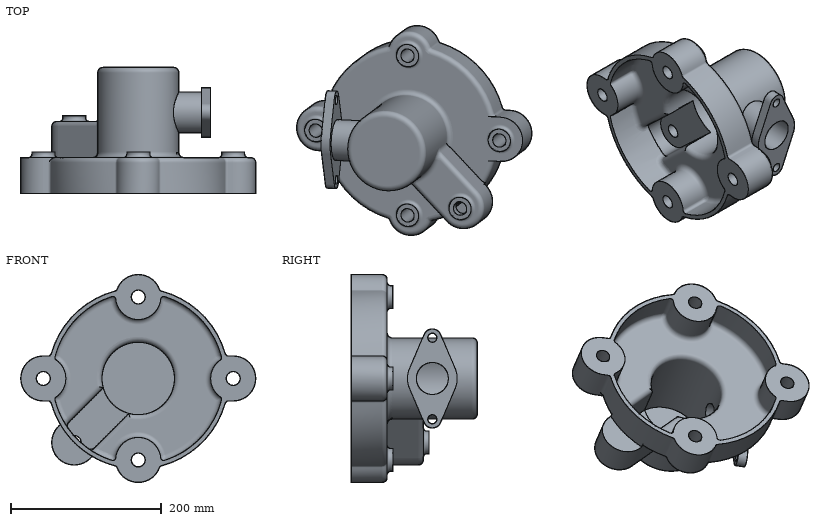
import cadquery as cq
import math

width_x = 312.0
height_z = 276.0
depth_y = 167.8
wall = 6.0
edge_round = 7.0

body_radius = 120.0
body_depth = 48.0
lug_radius = 30.0
lug_hole_radius = 9.0
corner_round = 4.0
flank_length = 25.0
side_lug_x = width_x / 2 - lug_radius
end_lug_z = height_z / 2 - lug_radius
lug_centres = [(-side_lug_x, 0), (side_lug_x, 0), (0, -end_lug_z), (0, end_lug_z)]

pad_radius = 15.3
pad_height = 7.5
pad_round = 4.5

cylinder_radius = 54.0
cylinder_cap_round = 7.5

arm_top = 96.0
arm_radius = lug_radius
arm_angle = 225
arm_end = (
    body_radius * math.cos(math.radians(arm_angle)),
    body_radius * math.sin(math.radians(arm_angle)),
)

port_y = 108.0
port_radius = 27.0
port_bore_radius = 21.2
port_flange_start = 83.5
port_flange_end = 96.0
port_flange_radius = 33.0
ear_offset = 54.0
ear_radius = 12.0
ear_hole_radius = 6.0

cavity_radius = body_radius - wall
cavity_depth = body_depth - wall
bore_radius = cylinder_radius - wall
bore_depth = depth_y - wall
channel_half_width = arm_radius - wall
channel_top = arm_top - wall

tolerance = 0.03


def disc(radius, y_start, y_end, centre=(0, 0)):
    """Cylinder along Y standing on a centre given as (x, z)."""
    plane = cq.Workplane("XZ", origin=(0, y_start, 0))
    return plane.center(*centre).circle(radius).extrude(y_start - y_end)


def arm_prism(half_width, y_start, y_end):
    """Bar from the main axis to the arm end, with a round end."""
    bar = (
        cq.Workplane("XY")
        .box(body_radius, y_end - y_start, 2 * half_width, centered=(False, False, True))
        .translate((0, y_start, 0))
        .rotate((0, 0, 0), (0, 1, 0), -arm_angle)
    )
    return bar.union(disc(half_width, y_start, y_end, arm_end))


def lug(centre):
    """Round lug; on the side lugs straight flanks run back into the body."""
    x, z = centre
    block = disc(lug_radius, 0, body_depth, centre)
    if x:
        flank = cq.Workplane("XY").box(flank_length, body_depth, 2 * lug_radius)
        flank_x = x - math.copysign(flank_length / 2, x)
        block = block.union(flank.translate((flank_x, body_depth / 2, 0)))
    return block


def bolt_pad(centre, y_base):
    """Revolved pad whose foot flares out onto the face it stands on."""
    x, z = centre
    return (
        cq.Workplane("XY")
        .lineTo(pad_radius + pad_round, 0)
        .radiusArc((pad_radius, pad_round), pad_round)
        .lineTo(pad_radius, pad_height)
        .lineTo(0, pad_height)
        .close()
        .revolve(360, (0, 0), (0, 1))
        .translate((x, y_base, z))
    )


def corners_on_circle(solid, radius):
    """Straight edges along Y that lie on a circle around the main axis."""
    return solid.edges("|Y").filter(
        lambda edge: abs(math.hypot(edge.Center().x, edge.Center().z) - radius) < tolerance
    )


def make_body():
    """Flange body, rounded along its back rim except on the -X lug and below the arm."""
    body = disc(body_radius, 0, body_depth)
    for centre in lug_centres:
        body = body.union(lug(centre))
    body = corners_on_circle(body, body_radius).fillet(corner_round)
    body = body.faces(">Y").edges().fillet(edge_round)
    arm_root = arm_prism(arm_radius, 0, body_depth).intersect(disc(body_radius, 0, body_depth))
    return body.union(lug(lug_centres[0])).union(arm_root)


def is_cylinder_foot(edge):
    """True for the seams where the cylinder meets the body and the arm."""
    points = edge.positions([0, 0.25, 0.5, 0.75])
    on_wall = all(abs(math.hypot(p.x, p.z) - cylinder_radius) < tolerance for p in points)
    return on_wall and edge.Center().y < arm_top + tolerance


def make_housing():
    """Cylinder and arm standing on the body and blended into each other."""
    arm = arm_prism(arm_radius, body_depth, arm_top).faces(">Y").edges().fillet(edge_round)
    cylinder = disc(cylinder_radius, 0, depth_y).faces(">Y").edges().fillet(cylinder_cap_round)
    housing = make_body().union(arm).union(cylinder)
    return housing.edges().filter(is_cylinder_foot).fillet(edge_round)


def port_disc(radius, x_start, x_end, z=0):
    """Cylinder along X centred on the port height."""
    plane = cq.Workplane("YZ", origin=(x_start, port_y, z))
    return plane.circle(radius).extrude(x_end - x_start)


def make_port():
    """Port tube with a flange whose ears join the round centre along tangents."""
    tangent_angle = math.asin((port_flange_radius - ear_radius) / ear_offset)
    flange_half_y = port_flange_radius * math.cos(tangent_angle)
    flange_tangent_z = port_flange_radius * math.sin(tangent_angle)
    ear_half_y = ear_radius * math.cos(tangent_angle)
    ear_tangent_z = ear_offset + ear_radius * math.sin(tangent_angle)
    corners = [
        (flange_half_y, -flange_tangent_z),
        (flange_half_y, flange_tangent_z),
        (ear_half_y, ear_tangent_z),
        (-ear_half_y, ear_tangent_z),
        (-flange_half_y, flange_tangent_z),
        (-flange_half_y, -flange_tangent_z),
        (-ear_half_y, -ear_tangent_z),
        (ear_half_y, -ear_tangent_z),
    ]
    plane = cq.Workplane("YZ", origin=(port_flange_start, port_y, 0))
    flange = plane.polyline(corners).close().extrude(port_flange_end - port_flange_start)
    flange = flange.union(port_disc(port_flange_radius, port_flange_start, port_flange_end))
    for z in (-ear_offset, ear_offset):
        flange = flange.union(port_disc(ear_radius, port_flange_start, port_flange_end, z))
        flange = flange.cut(port_disc(ear_hole_radius, port_flange_start, port_flange_end, z))
    return flange.union(port_disc(port_radius, 0, port_flange_end))


def make_cavity():
    """Inside of the shell: round chamber, cylinder bore and arm channel."""
    chamber = disc(cavity_radius, 0, cavity_depth)
    for centre in lug_centres:
        chamber = chamber.cut(disc(lug_radius, 0, cavity_depth, centre))
    chamber = corners_on_circle(chamber, cavity_radius).fillet(corner_round)
    channel = arm_prism(channel_half_width, cavity_depth, channel_top)
    channel = channel.intersect(disc(cavity_radius, cavity_depth, channel_top))
    arm_hollow = arm_prism(channel_half_width, body_depth + wall, channel_top)
    bore = disc(bore_radius, 0, bore_depth)
    cavity = chamber.union(bore).union(channel).union(arm_hollow)
    floor_edges = cavity.edges(
        cq.selectors.BoxSelector(
            (-width_x, cavity_depth - tolerance, -height_z),
            (width_x, cavity_depth + tolerance, height_z),
        )
    )
    channel_corners = corners_on_circle(cavity, cavity_radius).filter(
        lambda edge: edge.Center().y > cavity_depth
    )
    return floor_edges.add(channel_corners).fillet(edge_round)


result = make_housing().union(make_port())
for lug_centre in lug_centres:
    result = result.union(bolt_pad(lug_centre, body_depth))
result = result.union(bolt_pad(arm_end, arm_top))

result = result.cut(make_cavity())
result = result.cut(port_disc(port_bore_radius, 0, port_flange_end))
for lug_centre in lug_centres:
    result = result.cut(disc(lug_hole_radius, 0, body_depth + pad_height, lug_centre))
result = result.cut(disc(lug_hole_radius, channel_top, arm_top + pad_height, arm_end))